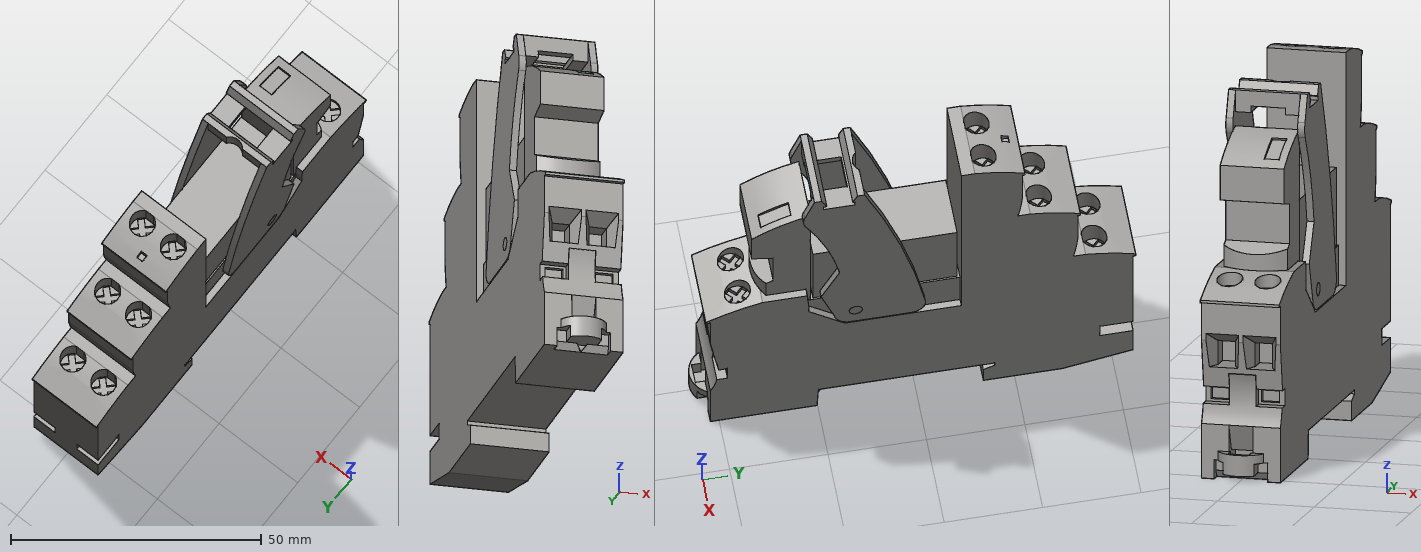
import cadquery as cq
import math


width = 16.3
half_width = width / 2
core_half = 6.7
front_y = 2.9
column_y = 53.8
relay_seat_z = 37.05
deck_z = 41.0
deck_rear_y = 22.6
seat_front_y = 22.9
roof_sagitta = 0.4
pivot_y, pivot_z, pivot_radius = 32.4, 33.0, 1.3

tier_count = 3
tier_pitch_y = 11.25
tier_pitch_z = 17.95
top_z = 76.7
rear_y = 89.3
lip_reach = 0.5
lip_height = 0.5
roof_drop = 2.6
roof_length = 10.2
riser_lean = 0.9
riser_curve_height = 6.25
riser_sagitta = 0.1
front_lip_y, front_lip_z = 2.0, 36.8
front_roof_y = 13.5

slope_top_z = 28.4
slope_end_y, slope_end_z = 4.55, 18.6
tongue_half = 2.8
tongue_tip_y, tongue_top_z = 3.7, 21.6
hollow_y, hollow_z = 4.4, 16.8
hollow_bottom_z = 11.25
marker_floor_z, marker_back_y = 15.1, 6.3

screw_x = 3.9
entry_x = 3.8
screw_radius = 2.6
cross_width = 1.3
cross_depth = 0.9
front_screw_y, front_screw_floor = 9.1, 37.8
rear_screw_y = 81.5
rear_screw_depth = 5.4

rail_z = 5.8
rail_front_y, rail_front_top_y = 24.55, 24.8
hook_tip_y, hook_root_y = 58.3, 60.6
hook_low_z, hook_high_z = 4.0, 5.0
rear_bevel_y, rear_bevel_z = 74.4, 3.0
latch_half = 5.5
latch_recess_z = 3.9
latch_recess_y = 4.2
latch_foot_y = 5.1
slot_half = 2.5
tab_half, tab_radius, tab_bottom_z = 4.7, 5.4, 1.5


def prism(points, x_min, x_max):
    """Straight-sided YZ outline extruded from x_min to x_max."""
    return cq.Workplane("YZ", origin=(x_min, 0, 0)).polyline(points).close().extrude(x_max - x_min)


def box(x_min, x_max, y_min, y_max, z_min, z_max):
    """Block between the given limits."""
    corner = (x_min, y_min, z_min)
    block = cq.Workplane("XY").box(x_max - x_min, y_max - y_min, z_max - z_min, centered=False)
    return block.translate(corner)


def both_sides(points, inner, outer):
    """The same prism on the left and on the right."""
    return prism(points, -outer, -inner).union(prism(points, inner, outer))


def slope_y(z):
    """Y of the leaning face below the front wall."""
    return front_y + (slope_top_z - z) * (slope_end_y - front_y) / (slope_top_z - slope_end_z)


def tier_z(tier):
    return top_z - (tier_count - 1 - tier) * tier_pitch_z


def socket_outline():
    """Side outline from the front face over the terminal tiers and back along the rail foot."""
    outline = cq.Workplane("YZ", origin=(-half_width, 0, 0))
    outline = (
        outline.moveTo(front_y, 0)
        .lineTo(front_y, hollow_bottom_z)
        .threePointArc((hollow_y, hollow_z), (tongue_tip_y, tongue_top_z))
        .lineTo(slope_y(tongue_top_z), tongue_top_z)
        .lineTo(front_y, slope_top_z)
        .lineTo(front_y, front_lip_z - lip_height)
        .lineTo(front_lip_y, front_lip_z - lip_height)
        .lineTo(front_lip_y, front_lip_z)
        .sagittaArc((front_roof_y, deck_z), roof_sagitta)
        .lineTo(deck_rear_y, deck_z)
        .lineTo(seat_front_y, relay_seat_z)
        .lineTo(column_y, relay_seat_z)
        .lineTo(column_y, top_z)
    )
    for tier in reversed(range(tier_count)):
        lip_y = rear_y - tier * tier_pitch_y
        lip_z = tier_z(tier) - roof_drop
        wall_y = lip_y - lip_reach
        outline = (
            outline.lineTo(lip_y - roof_length, tier_z(tier))
            .sagittaArc((lip_y, lip_z), roof_sagitta)
            .lineTo(lip_y, lip_z - lip_height)
            .lineTo(wall_y, lip_z - 1.5 * lip_height)
        )
        if tier > 0:
            foot_z = tier_z(tier - 1)
            outline = outline.lineTo(wall_y, foot_z + riser_curve_height)
            outline = outline.sagittaArc((wall_y - riser_lean, foot_z), riser_sagitta)
    return (
        outline.lineTo(rear_y - lip_reach, rear_bevel_z)
        .lineTo(rear_bevel_y, 0)
        .lineTo(hook_tip_y, 0)
        .lineTo(hook_tip_y, hook_low_z)
        .lineTo(hook_root_y, hook_high_z)
        .lineTo(hook_root_y, rail_z)
        .lineTo(rail_front_top_y, rail_z)
        .lineTo(rail_front_y, 0)
        .close()
        .extrude(width)
    )


def lever_recesses():
    """Side recesses that take the lever arms, with a sloping front end."""
    floor_z, slope_foot_y, slope_head_z = 28.8, 30.2, 35.1
    points = [
        (column_y, floor_z), (slope_foot_y, floor_z), (seat_front_y, slope_head_z),
        (seat_front_y, relay_seat_z), (deck_rear_y, deck_z), (column_y, deck_z),
    ]
    return both_sides(points, core_half, half_width)


def trunnions():
    """Pivot pins that fill the holes of the lever arms."""
    pin_length = half_width - core_half
    pin = cq.Workplane("YZ", origin=(core_half, pivot_y, pivot_z)).circle(pivot_radius).extrude(pin_length)
    return pin.union(pin.mirror("YZ"))


def screw_well(x, y, floor_z, rim_z):
    """Round well with a cross recess in its floor."""
    well = cq.Workplane("XY", origin=(x, y, floor_z)).circle(screw_radius).extrude(rim_z - floor_z)
    cross = cq.Workplane("XY").rect(2 * screw_radius, cross_width).extrude(-cross_depth)
    cross = cross.union(cross.rotate((0, 0, 0), (0, 0, 1), 90)).rotate((0, 0, 0), (0, 0, 1), 45)
    return well.union(cross.translate((x, y, floor_z)))


def cut_screw_wells(socket):
    for x in (-screw_x, screw_x):
        socket = socket.cut(screw_well(x, front_screw_y, front_screw_floor, deck_z))
        for tier in range(tier_count):
            shift = tier * tier_pitch_y
            well = screw_well(x, rear_screw_y - shift, tier_z(tier) - rear_screw_depth, tier_z(tier))
            flat_edge_y = rear_y - roof_length - shift
            roof_zone = box(-half_width, half_width, flat_edge_y, rear_y, 0, top_z)
            socket = socket.cut(well.intersect(roof_zone))
    return socket


def wire_entry(x):
    """Funnel that narrows sideways and from the top, with a level floor and a straight throat."""
    mouth_half, throat_half, throat_y, end_y = 3.4, 1.8, 6.25, 9.8
    floor_z, mouth_z, throat_z = 22.8, 29.8, 27.7
    side = [(front_y, floor_z), (throat_y, floor_z), (throat_y, throat_z), (front_y, mouth_z)]
    plan = [
        (x - mouth_half, front_y), (x + mouth_half, front_y),
        (x + throat_half, throat_y), (x - throat_half, throat_y),
    ]
    plan_prism = cq.Workplane("XY").polyline(plan).close().extrude(mouth_z)
    throat = box(x - throat_half, x + throat_half, throat_y, end_y, floor_z, throat_z)
    return prism(side, x - mouth_half, x + mouth_half).intersect(plan_prism).union(throat)


def marker_notches():
    """Notches beside the front tongue, each with a small pocket in its back wall."""
    points = [
        (0, marker_floor_z), (marker_back_y, marker_floor_z), (marker_back_y, slope_end_z),
        (slope_end_y, slope_end_z), (slope_y(tongue_top_z), tongue_top_z), (0, tongue_top_z),
    ]
    pocket_end_y = marker_back_y + 0.9
    pocket_low_z, pocket_high_z = 15.6, 18.0
    pocket_inner, pocket_outer = 3.4, 7.05
    pocket = [
        (marker_back_y, pocket_low_z), (pocket_end_y, pocket_low_z),
        (pocket_end_y, pocket_high_z), (marker_back_y, pocket_high_z),
    ]
    return both_sides(points, tongue_half, half_width).union(both_sides(pocket, pocket_inner, pocket_outer))


def rear_notches():
    """Notches in the rear face, one on each side of a central web."""
    floor_z, ceiling_z, end_y = 10.1, 13.5, 82.0
    points = [(rear_y, floor_z), (end_y, floor_z), (end_y, ceiling_z), (rear_y, ceiling_z)]
    return both_sides(points, tongue_half, half_width)


def indicator_pocket():
    """Small square pocket in the top of the column."""
    half_side, y, depth = 0.7, 64.2, 2.7
    return box(-half_side, half_side, y - half_side, y + half_side, top_z - depth, top_z)


def latch_recess():
    """Shallow recess low on the front face, with a sloping back at its foot."""
    points = [
        (front_y, 0), (latch_foot_y, 0), (latch_recess_y, tab_bottom_z),
        (latch_recess_y, latch_recess_z), (front_y, latch_recess_z),
    ]
    return prism(points, -latch_half, latch_half)


def latch_groove():
    """Small V groove in the sloping back of the latch recess."""
    groove_half, tip_z = 1.1, 0.1
    groove = cq.Workplane("XZ", origin=(0, front_y, 0))
    groove = groove.polyline([(-groove_half, tab_bottom_z), (groove_half, tab_bottom_z), (0, tip_z)]).close()
    return groove.extrude(front_y - latch_foot_y)


def latch_tab():
    """Rounded finger tab with its lower corners removed."""
    disc = cq.Workplane("XY", origin=(0, tab_radius, tab_bottom_z)).circle(tab_radius)
    tab = disc.extrude(rail_z - tab_bottom_z)
    tab = tab.intersect(box(-tab_half, tab_half, 0, latch_recess_y, 0, rail_z))
    corner_x = 3.2
    corner = [(0, 0), (latch_recess_y, 0), (latch_recess_y, latch_recess_z), (0, latch_recess_z)]
    return tab.cut(both_sides(corner, corner_x, tab_half))


def screwdriver_slot():
    """Slot that deepens downwards behind the tab, and the opening in the tab below it."""
    floor_z, ramp_end_y, back_y = 2.7, 4.9, 8.0
    slot = [
        (front_y, hollow_bottom_z), (ramp_end_y, rail_z), (back_y, rail_z),
        (back_y, floor_z), (front_y, floor_z),
    ]
    opening_half, opening_front_y = 2.1, 0.9
    opening = box(-opening_half, opening_half, opening_front_y, front_y, floor_z, rail_z)
    return prism(slot, -slot_half, slot_half).union(opening)


def rail_latch():
    """Bevelled nose that holds the rail, with its wider shoulder."""
    nose_z, shoulder_y = 5.0, 26.25
    nose = [(rail_front_y, 0), (28.0, 4.5), (27.9, 4.8), (shoulder_y, nose_z), (rail_front_y, nose_z)]
    shoulder = box(-core_half, core_half, rail_front_y, shoulder_y, latch_recess_z, rail_z)
    return prism(nose, -latch_half, latch_half).union(shoulder)


def make_socket():
    socket = socket_outline().cut(lever_recesses()).union(trunnions())
    socket = cut_screw_wells(socket)
    for x in (-entry_x, entry_x):
        socket = socket.cut(wire_entry(x))
    socket = socket.cut(marker_notches()).cut(rear_notches()).cut(indicator_pocket())
    socket = socket.cut(latch_recess()).cut(latch_groove()).union(latch_tab()).cut(screwdriver_slot())
    return socket.union(rail_latch())


def make_relay():
    """Plain block standing on the seat of the socket."""
    half, front, rear, top = 6.3, 24.0, 53.3, 53.1
    return box(-half, half, front, rear, relay_seat_z, top)


lever_top_z = 75.0
bridge_rear_y, bridge_front_y = 34.2, 24.0
bridge_bottom_z, bridge_floor_z = 70.5, 71.9


def lever_cheek():
    """Side arm, filling the recess of the socket out to the socket's side."""
    return (
        cq.Workplane("YZ", origin=(-half_width, 0, 0))
        .moveTo(bridge_rear_y, lever_top_z)
        .threePointArc((41.3, 55.1), (46.5, 32.7))
        .threePointArc((46.3, 30.9), (43.9, 29.1))
        .lineTo(31.7, 29.1)
        .threePointArc((29.4, 29.8), (28.0, 32.1))
        .lineTo(25.4, 39.8)
        .lineTo(29.1, 47.7)
        .threePointArc((26.4, 57.6), (22.2, 66.5))
        .threePointArc((21.8, 68.1), (22.05, 69.65))
        .lineTo(bridge_front_y, lever_top_z)
        .close()
        .extrude(half_width - core_half)
        .cut(cq.Workplane("YZ", origin=(-half_width, pivot_y, pivot_z)).circle(pivot_radius).extrude(width))
    )


def lever_bridge():
    """Cross piece between the arms."""
    block = box(-core_half, core_half, bridge_front_y, bridge_rear_y, bridge_bottom_z, lever_top_z)
    window_half, window_rear_y = 3.6, 31.5
    window = box(-window_half, window_half, bridge_front_y, window_rear_y, bridge_bottom_z, bridge_floor_z)
    scallop_radius, scallop_depth = 2.7, 1.0
    scallop = cq.Workplane("XY", origin=(0, bridge_rear_y + scallop_radius - scallop_depth, bridge_bottom_z))
    return block.cut(window).cut(scallop.circle(scallop_radius).extrude(lever_top_z - bridge_bottom_z))


def label_channel():
    """Undercut channel along the top of the lever."""
    points = [
        (32.8, lever_top_z), (31.8, 72.95), (32.2, 72.7), (32.2, bridge_floor_z),
        (25.9, bridge_floor_z), (25.9, 72.7), (26.5, 72.95), (25.45, lever_top_z),
    ]
    return prism(points, -half_width, half_width)


def make_lever():
    cheek = lever_cheek()
    other_cheek = cheek.translate((half_width + core_half, 0, 0))
    return cheek.union(lever_bridge()).union(other_cheek).cut(label_channel())


module_half = 6.6
module_rear_y = 23.5
module_head_y, module_head_z = 11.5, 62.4
module_rear_z = 67.8
module_neck_y = 15.9
module_nose_tip_y, module_nose_side_y = 12.3, 14.5
module_nose_z, module_neck_low_z = 44.3, 46.1
module_neck_high_z, module_head_low_z = 54.2, 55.3
module_roof_sagitta = 0.6


def module_outline():
    """Side outline with a hooked head over a narrower neck."""
    return (
        cq.Workplane("YZ", origin=(-module_half, 0, 0))
        .moveTo(module_rear_y, relay_seat_z)
        .lineTo(seat_front_y, relay_seat_z)
        .lineTo(deck_rear_y, deck_z)
        .lineTo(module_nose_tip_y, deck_z)
        .lineTo(module_nose_tip_y, module_nose_z)
        .lineTo(module_neck_y, module_neck_low_z)
        .lineTo(module_neck_y, module_neck_high_z)
        .lineTo(module_head_y, module_head_low_z)
        .lineTo(module_head_y, module_head_z)
        .sagittaArc((module_rear_y, module_rear_z), module_roof_sagitta)
        .close()
        .extrude(2 * module_half)
    )


def nose_trim():
    """Material in front of the rounded nose at the foot of the module."""
    block = box(-module_half, module_half, module_head_y, module_nose_side_y, deck_z, module_neck_low_z)
    nose = (
        cq.Workplane("XY", origin=(0, 0, deck_z))
        .moveTo(-module_half, module_nose_side_y)
        .threePointArc((0, module_nose_tip_y), (module_half, module_nose_side_y))
        .close()
        .extrude(module_neck_low_z - deck_z)
    )
    return block.cut(nose)


def display_recess():
    """Shallow window recess that follows the slope of the module's head."""
    length, breadth, depth = 6.8, 3.0, 0.4
    tilt = math.degrees(math.atan2(module_rear_z - module_head_z, module_rear_y - module_head_y))
    window = cq.Workplane("XY").box(breadth, length, 2 * depth)
    centre = (3.5, 16.7, 65.2)
    return window.rotate((0, 0, 0), (1, 0, 0), tilt).translate(centre)


def make_module():
    return module_outline().cut(nose_trim()).cut(display_recess())


socket = make_socket()
relay = make_relay()
lever = make_lever()
module = make_module()

result = cq.Compound.makeCompound([body.solids().val() for body in (socket, relay, lever, module)])